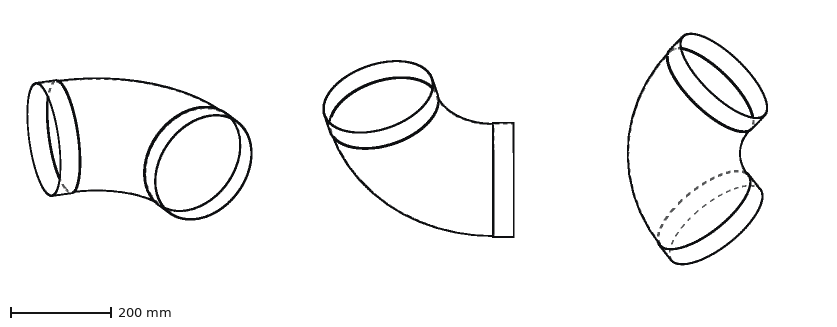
import cadquery as cq
import math

wall = 1.8
pipe_outer_diameter = 225.0
bend_angle = 75.0
bend_radius = 225.0
socket_depth = 40.0

pipe_outer_radius = pipe_outer_diameter / 2
pipe_inner_radius = pipe_outer_radius - wall
socket_radius = pipe_outer_radius
collar_radius = socket_radius + wall
shoulder_radius = wall
collar_length = socket_depth + shoulder_radius

angle = math.radians(bend_angle)
bend_start = cq.Vector(0, collar_length, 0)
bend_end = bend_start + cq.Vector(bend_radius * (1 - math.cos(angle)), bend_radius * math.sin(angle), 0)
start_outward = cq.Vector(0, -1, 0)
end_outward = cq.Vector(math.sin(angle), math.cos(angle), 0)
up = cq.Vector(0, 0, 1)


def make_bend():
    """Hollow elbow that leaves the first collar along +Y and turns towards +X."""
    return (
        cq.Workplane("XZ", origin=bend_start.toTuple())
        .circle(pipe_outer_radius)
        .circle(pipe_inner_radius)
        .revolve(bend_angle, (bend_radius, 0, 0), (bend_radius, -1, 0))
    )


def make_collar(bend_face, outward):
    """Socket collar turned about the pipe axis; a quarter-round shoulder meets the bend bore."""
    profile_plane = cq.Plane(origin=bend_face, xDir=outward.cross(up), normal=up)
    arc_offset = shoulder_radius * math.cos(math.radians(45))
    return (
        cq.Workplane(profile_plane)
        .moveTo(pipe_inner_radius, 0)
        .threePointArc((socket_radius - arc_offset, arc_offset), (socket_radius, shoulder_radius))
        .lineTo(socket_radius, collar_length)
        .lineTo(collar_radius, collar_length)
        .lineTo(collar_radius, 0)
        .close()
        .revolve(360, (0, 0, 0), (0, 1, 0))
    )


result = make_bend()
for bend_face, outward in ((bend_start, start_outward), (bend_end, end_outward)):
    result = result.union(make_collar(bend_face, outward))